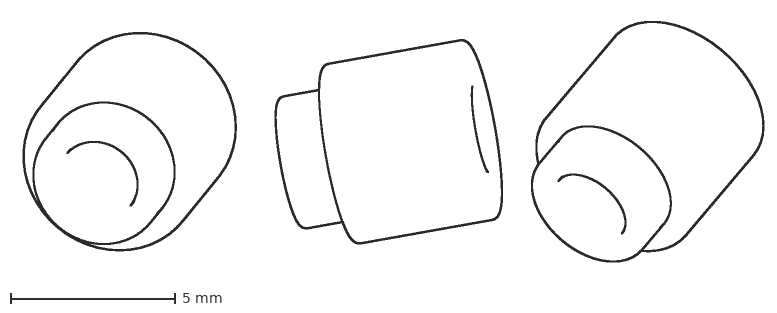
import cadquery as cq

total_length = 6.03
body_diameter = 5.56
spigot_diameter = 4.09
bore_diameter = 2.5
body_length = 4.5
edge_radius = 0.2

spigot_length = total_length - body_length


def cylinder_along_y(diameter, start_y, length):
    """Solid cylinder on the Y axis, growing toward +Y from start_y."""
    plane = cq.Plane(origin=(0, start_y, 0), xDir=(1, 0, 0), normal=(0, 1, 0))
    return cq.Workplane(plane).circle(diameter / 2).extrude(length)


body = cylinder_along_y(body_diameter, spigot_length, body_length)
body = body.edges("%CIRCLE").fillet(edge_radius)

spigot = cylinder_along_y(spigot_diameter, 0, spigot_length)
spigot = spigot.faces("<Y").edges().fillet(edge_radius)

bore = cylinder_along_y(bore_diameter, 0, total_length)
sleeve = body.union(spigot).cut(bore)
bore_mouths = cq.selectors.RadiusNthSelector(0)
result = sleeve.faces("<Y or >Y").edges(bore_mouths).fillet(edge_radius)